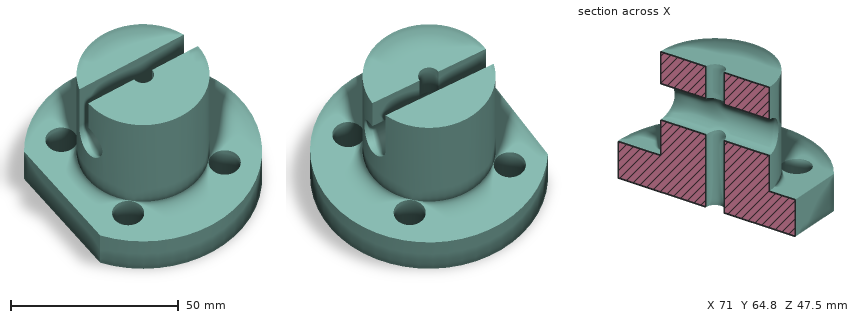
import cadquery as cq

flange_diameter = 71.0
flange_thickness = 12.5
flat_distance = 29.3

boss_diameter = 39.7
total_height = 47.5

channel_radius = 6.0
channel_depth = 17.0
channel_height = total_height - channel_depth

bore_diameter = 6.5
bolt_hole_diameter = 9.6
bolt_spacing = 35.0


def make_flange():
    disc = cq.Workplane("XY").circle(flange_diameter / 2).extrude(flange_thickness)
    beyond_flat = cq.Workplane("XY").box(
        flange_diameter, flange_diameter, flange_thickness, centered=(True, False, False)
    ).translate((0, -flat_distance - flange_diameter, 0))
    return disc.cut(beyond_flat)


def make_boss():
    return cq.Workplane("XY").circle(boss_diameter / 2).extrude(total_height)


def make_channel():
    """Round channel, with a slot from its -X edge to its axis rising to the top."""
    round_channel = (
        cq.Workplane("XZ")
        .center(0, channel_height)
        .circle(channel_radius)
        .extrude(boss_diameter / 2, both=True)
    )
    slot = cq.Workplane("XY").box(
        channel_radius, boss_diameter, channel_depth, centered=(False, True, False)
    ).translate((-channel_radius, 0, channel_height))
    return round_channel.union(slot)


def make_bore():
    return cq.Workplane("XY").circle(bore_diameter / 2).extrude(total_height)


def make_bolt_holes():
    return (
        cq.Workplane("XY")
        .rect(bolt_spacing, bolt_spacing, forConstruction=True)
        .vertices()
        .circle(bolt_hole_diameter / 2)
        .extrude(flange_thickness)
    )


drilled_flange = make_flange().cut(make_bolt_holes())
result = drilled_flange.union(make_boss()).cut(make_channel()).cut(make_bore())